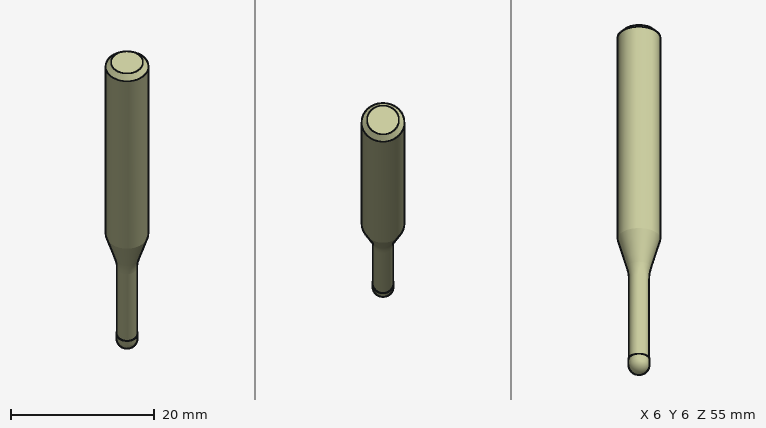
import cadquery as cq
import math

total_length = 55.0
shank_diameter = 6.0
ball_diameter = shank_diameter / 2
neck_diameter = 2.85
head_height = 2.35
neck_top = 15.3
flare_radius = 6.6
cone_half_angle = 15.8
end_chamfer = 0.75

shank_radius = shank_diameter / 2
ball_radius = ball_diameter / 2
neck_radius = neck_diameter / 2


def flare_point(angle):
    """Point (radius, height) on the flare where its tangent leans by angle in degrees."""
    lean = math.radians(angle)
    return (
        neck_radius + flare_radius * (1 - math.cos(lean)),
        neck_top + flare_radius * math.sin(lean),
    )


def make_cutting_head():
    """Hemispherical tip with a short cylindrical land above it."""
    arc_middle = (
        ball_radius * math.sin(math.pi / 4),
        ball_radius * (1 - math.cos(math.pi / 4)),
    )
    profile = (
        cq.Workplane("XZ")
        .moveTo(0, 0)
        .threePointArc(arc_middle, (ball_radius, ball_radius))
        .lineTo(ball_radius, head_height)
        .lineTo(0, head_height)
        .close()
    )
    return profile.revolve(360, (0, 0), (0, 1))


def make_shank():
    """Neck, tangent flare, cone and chamfered cylindrical shank."""
    flare_end = flare_point(cone_half_angle)
    cone_height = (shank_radius - flare_end[0]) / math.tan(math.radians(cone_half_angle))
    cone_top = flare_end[1] + cone_height
    profile = (
        cq.Workplane("XZ")
        .moveTo(0, head_height)
        .lineTo(neck_radius, head_height)
        .lineTo(neck_radius, neck_top)
        .threePointArc(flare_point(cone_half_angle / 2), flare_end)
        .lineTo(shank_radius, cone_top)
        .lineTo(shank_radius, total_length - end_chamfer)
        .lineTo(shank_radius - end_chamfer, total_length)
        .lineTo(0, total_length)
        .close()
    )
    return profile.revolve(360, (0, 0), (0, 1))


cutting_head = make_cutting_head()
shank = make_shank()

result = cq.Compound.makeCompound([cutting_head.val(), shank.val()])